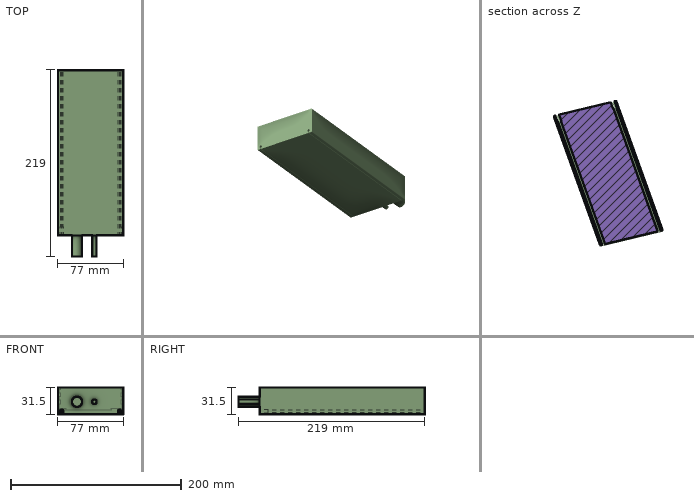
import cadquery as cq

TOTAL_LENGTH = 219.0
WIDTH = 77.0
HEIGHT = 31.5
PIN_LENGTH = 25.0
BODY_LENGTH = TOTAL_LENGTH - PIN_LENGTH
LONG_EDGE_RADIUS = 0.5

PIN_HEIGHT = 14.7
LARGE_PIN_X = -16.0
LARGE_PIN_DIAMETER = 12.0
SMALL_PIN_X = 4.4
SMALL_PIN_DIAMETER = 5.3

SCREW_DIAMETER = 3.0
COUNTERBORE_DIAMETER = 4.2
COUNTERBORE_DEPTH = 10.0
SCREW_INSET = 4.5
SCREW_HEIGHT = 3.3
SLIT_WIDTH = 0.7

PANEL_THICKNESS = 2.0
SIDE_WALL = 1.5
TOP_WALL = 0.1
FLOOR_HEIGHT = 4.8
LEDGE_HEIGHT = 6.8
LEFT_LEDGE_X = -28.7
RIGHT_LEDGE_X = 23.9
LEDGE_UNDERCUT = 0.7
RIB_DEPTH = 1.5
RIB_SPANS = [(12.0, 16.6), (20.5, 25.2), (29.3, HEIGHT - TOP_WALL)]


def make_housing():
    """Long block standing on Z = 0 with its front face at Y = 0."""
    block = cq.Workplane("XY").box(WIDTH, BODY_LENGTH, HEIGHT, centered=(True, False, False))
    return block.edges("|Y").fillet(LONG_EDGE_RADIUS)


def make_end_panel():
    """Plate notched around the wall ribs, with a foot between the two floor ledges."""
    wall_x = WIDTH / 2 - SIDE_WALL
    right_side = [(wall_x, LEDGE_HEIGHT)]
    for rib_bottom, rib_top in RIB_SPANS:
        right_side += [
            (wall_x, rib_bottom),
            (wall_x - RIB_DEPTH, rib_bottom),
            (wall_x - RIB_DEPTH, rib_top),
        ]
        if rib_top < HEIGHT - TOP_WALL:
            right_side.append((wall_x, rib_top))
    left_side = [(-x, z) for x, z in reversed(right_side)]
    floor = [
        (LEFT_LEDGE_X, LEDGE_HEIGHT),
        (LEFT_LEDGE_X - LEDGE_UNDERCUT, FLOOR_HEIGHT),
        (RIGHT_LEDGE_X + LEDGE_UNDERCUT, FLOOR_HEIGHT),
        (RIGHT_LEDGE_X, LEDGE_HEIGHT),
    ]
    outline = floor + right_side + left_side
    return cq.Workplane("XZ").polyline(outline).close().extrude(-PANEL_THICKNESS)


def make_screw_channel(x):
    """Round channel along the full body, with its counterbore and the slit below it."""
    axis = cq.Workplane("XZ").center(x, SCREW_HEIGHT)
    bore = axis.circle(SCREW_DIAMETER / 2).extrude(-BODY_LENGTH)
    counterbore = axis.circle(COUNTERBORE_DIAMETER / 2).extrude(-COUNTERBORE_DEPTH)
    slit = cq.Workplane("XY").center(x, 0).box(
        SLIT_WIDTH, BODY_LENGTH, SCREW_HEIGHT, centered=(True, False, False)
    )
    return bore.union(counterbore).union(slit)


def make_pin(x, diameter):
    """Round pin standing out of the front face towards -Y."""
    return cq.Workplane("XZ").center(x, PIN_HEIGHT).circle(diameter / 2).extrude(PIN_LENGTH)


housing = make_housing()
for side in (-1, 1):
    housing = housing.cut(make_screw_channel(side * (WIDTH / 2 - SCREW_INSET)))

end_panel = make_end_panel()
result = housing.cut(end_panel).union(end_panel, clean=False)
for pin_x, pin_diameter in ((LARGE_PIN_X, LARGE_PIN_DIAMETER), (SMALL_PIN_X, SMALL_PIN_DIAMETER)):
    result = result.union(make_pin(pin_x, pin_diameter), clean=False)